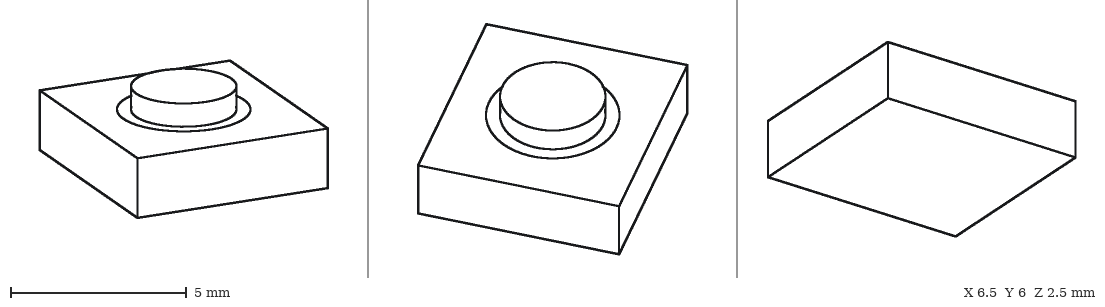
import cadquery as cq

length = 6.5
width = 6.0
housing_height = 1.8
total_height = 2.5

cap_diameter = 3.0
cap_height = total_height - housing_height
flange_diameter = 3.8
flange_thickness = 0.7
recess_floor = housing_height - flange_thickness


def make_housing():
    """Rectangular block with a blind round recess for the button flange."""
    block = cq.Workplane("XY").box(length, width, housing_height, centered=(True, True, False))
    recess = (
        cq.Workplane("XY")
        .workplane(offset=recess_floor)
        .circle(flange_diameter / 2)
        .extrude(flange_thickness)
    )
    return block.cut(recess)


def make_button():
    """Stepped button: flange filling the recess, cap standing above the housing."""
    return (
        cq.Workplane("XY")
        .workplane(offset=recess_floor)
        .circle(flange_diameter / 2)
        .extrude(flange_thickness)
        .faces(">Z")
        .workplane()
        .circle(cap_diameter / 2)
        .extrude(cap_height)
    )


housing = make_housing()
button = make_button()

result = cq.Compound.makeCompound([housing.val(), button.val()])